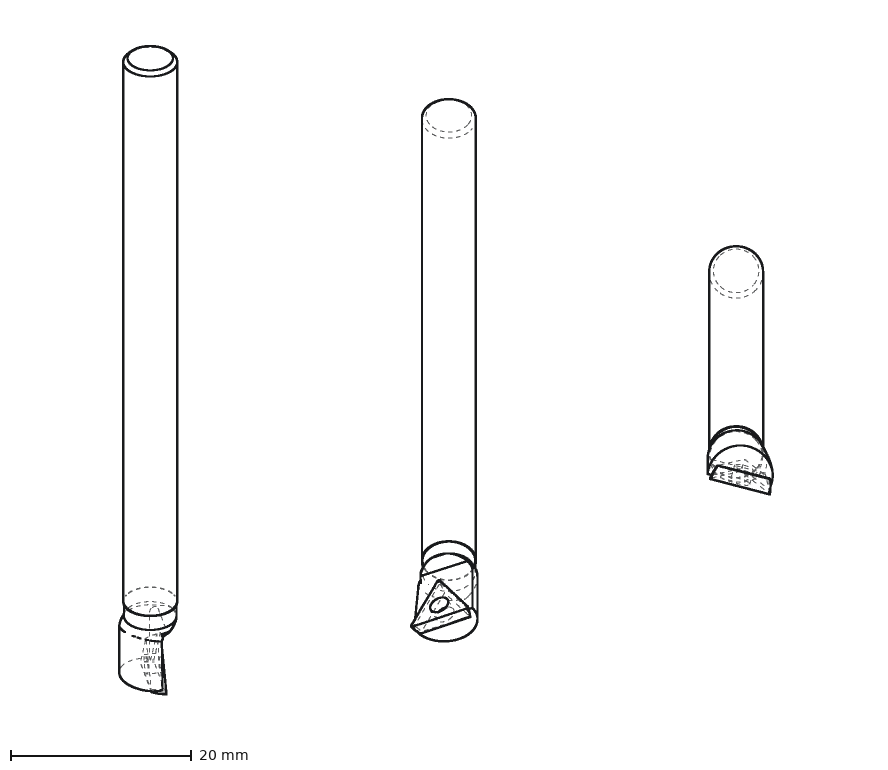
import cadquery as cq
import math

TOTAL_LENGTH = 81.1
SHANK_DIAMETER = 6.0
SHANK_BOTTOM = 9.8
SHANK_CHAMFER = 0.5
NECK_DIAMETER = 5.8
HEAD_TOP = 7.95
HEAD_RADIUS = 3.65
HEAD_OFFSET = 0.5
SHOULDER_WIDTH = 1.6
SHOULDER_HEIGHT = 3.7

RELIEF_BASE = (0.3, -0.4)
RELIEF_LEAN = (-0.6, 0.8)

BOTTOM_HEIGHT = 0.5
BOTTOM_ANGLE = 5.0

RAKE_ANGLE = 13.0
INSERT_EDGE = 7.1
INSERT_THICKNESS = 1.6
INSERT_CLEARANCE = 11.0
INSERT_LEAD = 1.0
INSERT_HOLE = 2.2
NOSE_RADIUS = 0.2
CORNER_X = 4.4
CORNER_Y = 0.0
CORNER_Z = 0.0

FACE_RECESS = 0.4
FACE_TOP = 6.4
FACE_RUNOUT = 0.8
CEILING_RISE = 2.1

CLEAR = 9.7

sin_rake = math.sin(math.radians(RAKE_ANGLE))
cos_rake = math.cos(math.radians(RAKE_ANGLE))
rake_normal = cq.Vector(sin_rake, cos_rake, 0)
along_rake = cq.Vector(-cos_rake, sin_rake, 0)


def make_shank():
    neck = cq.Workplane("XY").workplane(offset=HEAD_TOP).circle(NECK_DIAMETER / 2).extrude(
        SHANK_BOTTOM - HEAD_TOP
    )
    shank = cq.Workplane("XY").workplane(offset=SHANK_BOTTOM).circle(SHANK_DIAMETER / 2).extrude(
        TOTAL_LENGTH - SHANK_BOTTOM
    )
    return shank.faces(">Z").chamfer(SHANK_CHAMFER).union(neck)


def make_head():
    """Two-arc column trimmed by the leaning flank relief and the conical shoulder."""
    back_radius = HEAD_RADIUS - HEAD_OFFSET
    head = (
        cq.Workplane("XY")
        .moveTo(-back_radius, 0)
        .threePointArc((HEAD_OFFSET, -HEAD_RADIUS), (HEAD_OFFSET + HEAD_RADIUS, 0))
        .lineTo(back_radius, 0)
        .threePointArc((0, back_radius), (-back_radius, 0))
        .close()
        .extrude(HEAD_TOP)
    )

    lean = cq.Vector(*RELIEF_LEAN, HEAD_TOP)
    relief_start = cq.Vector(*RELIEF_BASE, 0) - lean
    relief = cq.Solid.makeCylinder(HEAD_RADIUS, 3 * lean.Length, relief_start, lean)

    neck_radius = NECK_DIAMETER / 2
    shoulder_radius = neck_radius + SHOULDER_WIDTH
    shoulder = (
        cq.Workplane("XZ")
        .moveTo(0, 0)
        .lineTo(shoulder_radius, 0)
        .lineTo(shoulder_radius, HEAD_TOP - SHOULDER_HEIGHT)
        .lineTo(neck_radius, HEAD_TOP)
        .lineTo(0, HEAD_TOP)
        .close()
        .revolve(360, (0, 0, 0), (0, 1, 0))
    )
    return head.intersect(cq.Workplane(relief)).intersect(shoulder)


def make_bottom_cut():
    """Block whose sloping upper face leaves clearance under the head."""
    return (
        cq.Workplane("XY")
        .box(2 * CLEAR, 2 * CLEAR, CLEAR, centered=(True, True, False))
        .translate((0, 0, -CLEAR))
        .rotate((0, 0, 0), (1, 0, 0), -BOTTOM_ANGLE)
        .translate((0, 0, BOTTOM_HEIGHT))
    )


def make_chip_space():
    """Prism in front of the chip face, with a curved and sloping ceiling."""
    face_point = cq.Vector(CORNER_X, CORNER_Y, 0) - rake_normal * FACE_RECESS
    section = cq.Plane(origin=face_point - along_rake * CLEAR, xDir=rake_normal, normal=along_rake * -1)
    arc_offset = FACE_RUNOUT * (1 - math.sqrt(0.5))
    return (
        cq.Workplane(section)
        .moveTo(0, -CLEAR)
        .lineTo(0, FACE_TOP)
        .threePointArc(
            (arc_offset, FACE_TOP + FACE_RUNOUT - arc_offset),
            (FACE_RUNOUT, FACE_TOP + FACE_RUNOUT),
        )
        .lineTo(CLEAR / 2, FACE_TOP + FACE_RUNOUT + CEILING_RISE)
        .lineTo(CLEAR / 2, -CLEAR)
        .close()
        .extrude(-3 * CLEAR)
    )


def make_insert_blank():
    """Tapered triangular insert without its hole, rake face outward."""
    corner = cq.Vector(CORNER_X, CORNER_Y, CORNER_Z)
    rake_plane = cq.Plane(origin=corner, xDir=along_rake, normal=rake_normal)
    corners = [(0, 0)]
    for angle in (INSERT_LEAD, INSERT_LEAD + 60):
        direction = math.radians(angle)
        corners.append((INSERT_EDGE * math.cos(direction), INSERT_EDGE * math.sin(direction)))
    center = tuple(sum(values) / 3 for values in zip(*corners))
    blank = (
        cq.Workplane(rake_plane)
        .polyline(corners)
        .close()
        .offset2D(-NOSE_RADIUS)
        .offset2D(NOSE_RADIUS)
        .extrude(-INSERT_THICKNESS, taper=INSERT_CLEARANCE)
    )
    hole = cq.Workplane(rake_plane).center(*center).circle(INSERT_HOLE / 2).extrude(-INSERT_THICKNESS)
    return blank, hole


insert_blank, insert_hole = make_insert_blank()
insert = insert_blank.cut(insert_hole)

head = make_head().cut(make_bottom_cut()).cut(make_chip_space())
holder = make_shank().union(head).cut(insert_blank)

result = cq.Compound.makeCompound([holder.solids().val(), insert.solids().val()])